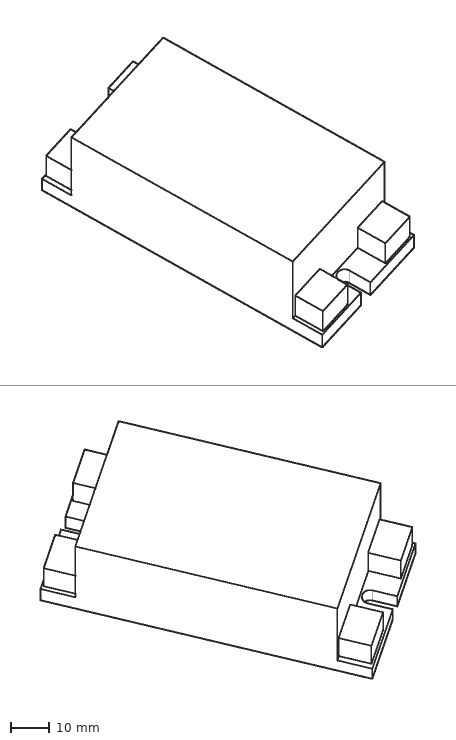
import cadquery as cq

length = 90.0
width = 41.0
height = 29.0

flange_reach = 9.45
left_flange_height = 4.8
right_flange_height = 5.3

terminal_reach = 8.9
terminal_width = 11.0
terminal_height = 8.4
terminal_bottom = 5.3
terminal_edge_gap = 1.1

slot_width = 4.2
slot_depth = 8.9
slot_y = -1.1

housing_length = length - 2 * flange_reach
terminal_y = width / 2 - terminal_edge_gap - terminal_width / 2


def base_box(size_x, size_y, size_z, x=0, y=0, z=0):
    """Box centred at x, y with its underside at z."""
    return cq.Workplane("XY").box(size_x, size_y, size_z, centered=(True, True, False)).translate((x, y, z))


def slot_cutter(side):
    """Round-ended slot running in from the end face on the given side (-1 or 1)."""
    return (
        cq.Workplane("XY")
        .center(side * length / 2, slot_y)
        .slot2D(2 * slot_depth, slot_width)
        .extrude(height)
    )


result = base_box(housing_length, width, height)

for side, flange_height in ((-1, left_flange_height), (1, right_flange_height)):
    flange_x = side * (length - flange_reach) / 2
    flange = base_box(flange_reach, width, flange_height, flange_x)
    result = result.union(flange.cut(slot_cutter(side)))

    terminal_x = side * (housing_length + terminal_reach) / 2
    for y in (-terminal_y, terminal_y):
        terminal = base_box(terminal_reach, terminal_width, terminal_height, terminal_x, y, terminal_bottom)
        result = result.union(terminal)